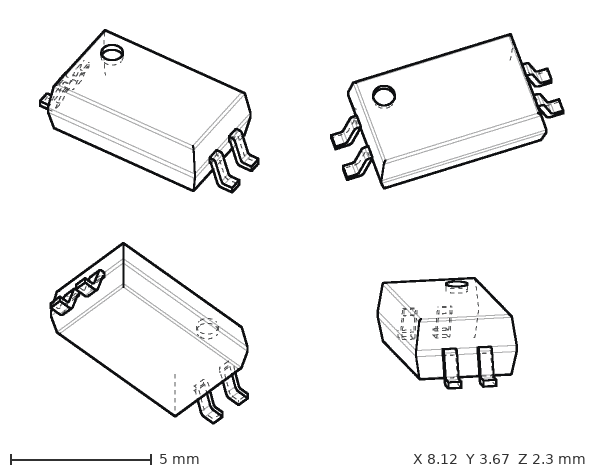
import cadquery as cq
import math

overall_length = 8.12
body_length = 6.2
body_width = 3.67
body_top = 2.3
body_bottom = 0.1

belt_top = 1.22
top_inset = 0.155
bottom_inset = 0.16
top_edge_radius = 0.1
bottom_edge_radius = 0.08

mark_diameter = 0.77
mark_depth = 0.24
mark_x = -2.095
mark_y = 0.82

lead_thickness = 0.23
lead_width = 0.47
lead_pitch = 1.275
shoulder_length = 0.23
foot_length = 0.42
inner_bend_radius = 0.12
outer_bend_radius = 0.195
shoulder_bend_radius = 0.12

belt_bottom = belt_top - lead_thickness


def tapered_half(start_z, end_z, inset):
    """Frustum from the belt outline at start_z to the inset outline at end_z."""
    return (
        cq.Workplane("XY", origin=(0, 0, start_z))
        .rect(body_length, body_width)
        .workplane(offset=end_z - start_z)
        .rect(body_length - 2 * inset, body_width - 2 * inset)
        .loft(ruled=True)
    )


def make_body():
    """Moulded package body with rounded rims and a round index mark."""
    belt = (
        cq.Workplane("XY", origin=(0, 0, belt_bottom))
        .rect(body_length, body_width)
        .extrude(lead_thickness)
    )
    upper = tapered_half(belt_top, body_top, top_inset).faces(">Z").edges().fillet(top_edge_radius)
    lower = tapered_half(belt_bottom, body_bottom, bottom_inset).faces("<Z").edges().fillet(bottom_edge_radius)
    mark = (
        cq.Workplane("XY", origin=(mark_x, mark_y, body_top - mark_depth))
        .circle(mark_diameter / 2)
        .extrude(mark_depth)
    )
    return belt.union(upper).union(lower).cut(mark)


def make_lead(side, center_y):
    """Gull-wing lead; side is -1 for the -X end and +1 for the +X end."""
    tip_x = overall_length / 2
    root_x = body_length / 2
    shoulder_x = root_x + shoulder_length
    foot_x = tip_x - foot_length

    bend_angle = math.atan2(belt_bottom, foot_x - shoulder_x)
    corner_shift = lead_thickness * math.tan(bend_angle / 2)

    outline = [
        (root_x, belt_top),
        (shoulder_x, belt_top),
        (foot_x, lead_thickness),
        (tip_x, lead_thickness),
        (tip_x, 0),
        (foot_x - corner_shift, 0),
        (shoulder_x - corner_shift, belt_bottom),
        (root_x, belt_bottom),
    ]
    lead = (
        cq.Workplane("XZ", origin=(0, center_y + lead_width / 2, 0))
        .polyline([(side * x, z) for x, z in outline])
        .close()
        .extrude(lead_width)
    )
    bends = [
        (shoulder_x, belt_top, shoulder_bend_radius),
        (foot_x, lead_thickness, inner_bend_radius),
        (foot_x - corner_shift, 0, outer_bend_radius),
    ]
    for x, z, radius in bends:
        corner = cq.selectors.NearestToPointSelector((side * x, center_y, z))
        lead = lead.edges("|Y").edges(corner).fillet(radius)
    return lead


body = make_body()
leads = [
    make_lead(side, row * lead_pitch / 2)
    for side in (-1, 1)
    for row in (-1, 1)
]

result = cq.Compound.makeCompound([body.val(), *[lead.val() for lead in leads]])